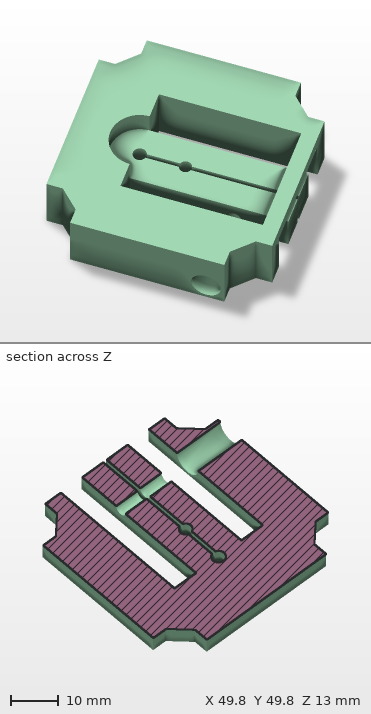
import cadquery as cq

BLOCK_SIZE = 49.8
HALF_SIZE = BLOCK_SIZE / 2
BLOCK_HEIGHT = 13.0
CORNER_COUNT = 4
FLAT_LENGTH = 34.0
NOTCH_STEP = 3.6

WINDOW_LEFT = -10.1
WINDOW_RIGHT = HALF_SIZE - NOTCH_STEP
WINDOW_WIDTH = 25.0
BRIDGE_THICKNESS = 3.0

TONGUE_WIDTH = 13.0
HALF_TONGUE = TONGUE_WIDTH / 2
TONGUE_HEIGHT = 8.0
SLIT_WIDTH = 0.9
RELIEF_DIAMETER = 3.0
CENTRE_HOLE_DIAMETER = 2.8

SCREW_X = 12.95
SCREW_Z = TONGUE_HEIGHT / 2
HEAD_DIAMETER = 6.5
CLEARANCE_DIAMETER = 3.0
THREAD_DIAMETER = 2.8


def box(x_min, x_max, width, z_min, z_max):
    """Box centred on Y = 0."""
    return (
        cq.Workplane("XY")
        .box(x_max - x_min, width, z_max - z_min, centered=(False, True, False))
        .translate((x_min, 0, z_min))
    )


def vertical_cylinder(x, diameter, z_min, z_max):
    """Cylinder along Z with its axis on Y = 0."""
    return (
        cq.Workplane("XY", origin=(x, 0, z_min))
        .circle(diameter / 2)
        .extrude(z_max - z_min)
    )


def screw_bore(diameter, y_start, y_end):
    """Cylinder on the clamping screw axis, running toward +Y."""
    return (
        cq.Workplane("XZ", origin=(SCREW_X, y_start, SCREW_Z))
        .circle(diameter / 2)
        .extrude(y_start - y_end)
    )


def notched_block():
    """Square block with a stepped and chamfered notch at each corner."""
    half_flat = FLAT_LENGTH / 2
    step = HALF_SIZE - NOTCH_STEP
    corner = [
        (HALF_SIZE, half_flat),
        (step, half_flat),
        (half_flat, step),
        (half_flat, HALF_SIZE),
    ]
    outline = []
    for _ in range(CORNER_COUNT):
        outline += corner
        corner = [(-y, x) for x, y in corner]
    return cq.Workplane("XY").polyline(outline).close().extrude(BLOCK_HEIGHT)


def window():
    """Opening through the block that runs out at +X below the bridge."""
    bridge_bottom = BLOCK_HEIGHT - BRIDGE_THICKNESS
    upper = box(WINDOW_LEFT, WINDOW_RIGHT, WINDOW_WIDTH, 0, BLOCK_HEIGHT)
    under_bridge = box(WINDOW_LEFT, HALF_SIZE, WINDOW_WIDTH, 0, bridge_bottom)
    root_pocket = vertical_cylinder(WINDOW_LEFT, TONGUE_WIDTH, TONGUE_HEIGHT, BLOCK_HEIGHT)
    return upper.union(under_bridge).union(root_pocket)


def tongue():
    """Tongue with a stepped screw hole: clearance on the -Y half, thread on the +Y half."""
    body = box(WINDOW_LEFT, HALF_SIZE, TONGUE_WIDTH, 0, TONGUE_HEIGHT)
    return (
        body
        .cut(screw_bore(CLEARANCE_DIAMETER, -HALF_TONGUE, 0))
        .cut(screw_bore(THREAD_DIAMETER, 0, HALF_TONGUE))
    )


def slit():
    """Slit along the tongue together with its two vertical holes."""
    return (
        box(WINDOW_LEFT, HALF_SIZE, SLIT_WIDTH, 0, TONGUE_HEIGHT)
        .union(vertical_cylinder(WINDOW_LEFT, RELIEF_DIAMETER, 0, TONGUE_HEIGHT))
        .union(vertical_cylinder(0, CENTRE_HOLE_DIAMETER, 0, TONGUE_HEIGHT))
    )


head_bore = screw_bore(HEAD_DIAMETER, -HALF_SIZE, -WINDOW_WIDTH / 2)

result = notched_block().cut(window()).cut(head_bore).union(tongue()).cut(slit())